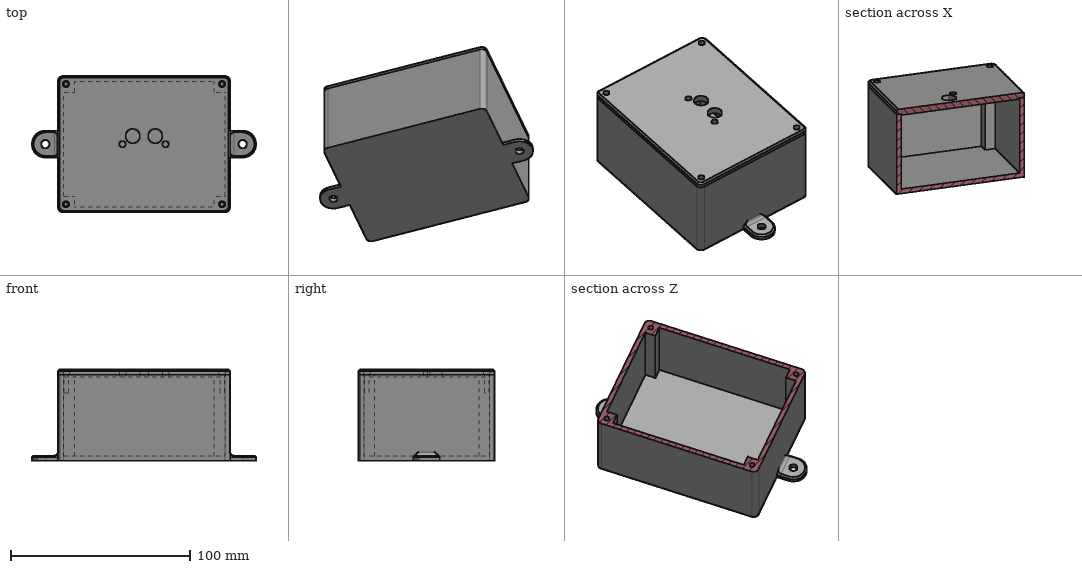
import cadquery as cq

box_length = 96.0
box_width = 76.0
total_height = 51.0
corner_radius = 3.0
wall = 3.0
floor_thickness = 3.0

lid_thickness = 3.0
lid_chamfer = 1.0
lip_depth = 1.0
rim_height = total_height - lid_thickness

screw_inset = 4.5
screw_clearance_diameter = 3.5
screw_pilot_diameter = 2.5
screw_pilot_depth = 10.0
post_size = 2 * screw_inset
screw_points = [
    (side_x * (box_length / 2 - screw_inset), side_y * (box_width / 2 - screw_inset))
    for side_x in (-1, 1)
    for side_y in (-1, 1)
]

window_diameter = 8.0
window_spacing = 12.5
window_y = 4.5
fixing_hole_diameter = 3.5
fixing_hole_spacing = 24.0

overall_length = 125.0
ear_width = 15.0
ear_thickness = 3.0
ear_chamfer = 1.0
ear_fillet = 2.0
ear_hole_diameter = 4.5
ear_radius = ear_width / 2
ear_hole_x = overall_length / 2 - ear_radius


def rounded_block(height):
    return (
        cq.Workplane("XY")
        .rect(box_length, box_width)
        .extrude(height)
        .edges("|Z")
        .fillet(corner_radius)
    )


def cavity_block(bottom, top):
    """Interior of the box between two heights, notched around the corner posts."""
    height = top - bottom
    block = (
        cq.Workplane("XY", origin=(0, 0, bottom))
        .rect(box_length - 2 * wall, box_width - 2 * wall)
        .extrude(height)
    )
    posts = (
        cq.Workplane("XY", origin=(0, 0, bottom))
        .pushPoints(screw_points)
        .rect(post_size, post_size)
        .extrude(height)
    )
    return block.cut(posts)


def make_ear():
    """Ear on the +X side: a bevelled round-ended tab that curves up into the wall."""
    wall_x = box_length / 2
    root_x = wall_x - wall / 2
    tip_x = ear_hole_x + ear_radius
    blend_top = ear_thickness + ear_fillet
    straight_height = ear_thickness - ear_chamfer

    tab = (
        cq.Workplane("XY")
        .moveTo(root_x, -ear_radius)
        .lineTo(ear_hole_x, -ear_radius)
        .threePointArc((tip_x, 0), (ear_hole_x, ear_radius))
        .lineTo(root_x, ear_radius)
        .close()
        .extrude(blend_top)
        .faces(">Z")
        .edges("not <X")
        .chamfer(blend_top - straight_height)
    )
    side_profile = (
        cq.Workplane("XZ")
        .moveTo(root_x, 0)
        .lineTo(tip_x, 0)
        .lineTo(tip_x, ear_thickness)
        .lineTo(wall_x + ear_fillet, ear_thickness)
        .radiusArc((wall_x, blend_top), ear_fillet)
        .lineTo(root_x, blend_top)
        .close()
        .extrude(ear_radius, both=True)
    )
    hole = (
        cq.Workplane("XY")
        .center(ear_hole_x, 0)
        .circle(ear_hole_diameter / 2)
        .extrude(blend_top)
    )
    return tab.intersect(side_profile).cut(hole)


def make_housing():
    ear = make_ear()
    pilot_holes = (
        cq.Workplane("XY", origin=(0, 0, rim_height))
        .pushPoints(screw_points)
        .circle(screw_pilot_diameter / 2)
        .extrude(-screw_pilot_depth)
    )
    return (
        rounded_block(rim_height)
        .union(ear)
        .union(ear.mirror("YZ"))
        .cut(cavity_block(floor_thickness, rim_height))
        .cut(pilot_holes)
    )


def lid_holes(points, diameter):
    depth = lid_thickness + lip_depth
    return (
        cq.Workplane("XY", origin=(0, 0, total_height))
        .pushPoints(points)
        .circle(diameter / 2)
        .extrude(-depth)
    )


def make_lid():
    windows = [(side * window_spacing / 2, window_y) for side in (-1, 1)]
    fixing_holes = [(side * fixing_hole_spacing / 2, 0) for side in (-1, 1)]
    plate = rounded_block(lid_thickness).faces(">Z").edges().chamfer(lid_chamfer)
    return (
        plate.translate((0, 0, rim_height))
        .union(cavity_block(rim_height - lip_depth, rim_height))
        .cut(lid_holes(screw_points, screw_clearance_diameter))
        .cut(lid_holes(windows, window_diameter))
        .cut(lid_holes(fixing_holes, fixing_hole_diameter))
    )


housing = make_housing()
lid = make_lid()
result = cq.Compound.makeCompound([housing.solids().val(), lid.solids().val()])